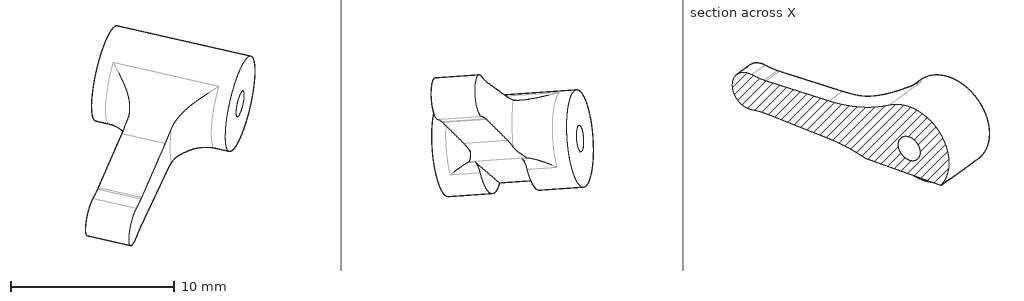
import cadquery as cq
import math

hub_width = 8.61
hub_radius = 3.004
bore_radius = 0.81

slot_width = 3.0
slot_roof_depth = 1.84

overall_length = 16.28
lever_width = 2.8
taper_start = 5.97
taper_end = 10.7
taper_start_half_height = 1.37
neck_half_height = 1.19
neck_end = 10.85
tip_radius = 1.29
tip_distance = overall_length - hub_radius - tip_radius

side_blend_radius = 2.0
lower_blend_radius = 1.63


def blend_point(center, radius, other_center):
    """Point on a circle in the direction of another circle's center."""
    dy = other_center[0] - center[0]
    dz = other_center[1] - center[1]
    distance = math.hypot(dy, dz)
    return (center[0] + radius * dy / distance, center[1] + radius * dz / distance)


def arc_middle(center, start, end):
    """Middle of the shorter arc from start to end."""
    middle = ((start[0] + end[0]) / 2, (start[1] + end[1]) / 2)
    return blend_point(center, math.dist(center, start), middle)


def mirrored(point):
    return (point[0], -point[1])


def make_hub():
    return cq.Workplane("YZ").circle(hub_radius).extrude(hub_width / 2, both=True)


def make_lever_profile():
    """Side outline of the lever in the YZ plane, closed by a chord inside the hub."""
    hub_center = (0, 0)

    taper_start_point = (-taper_start, taper_start_half_height)
    taper_angle = math.atan2(taper_start_half_height - neck_half_height, taper_end - taper_start)
    normal = (-math.sin(taper_angle), math.cos(taper_angle))
    normal_offset = taper_start_point[0] * normal[0] + taper_start_point[1] * normal[1]
    start_distance = math.hypot(*taper_start_point)
    arc_radius = (start_distance**2 - hub_radius**2) / (2 * (hub_radius - normal_offset))
    arc_center = (
        taper_start_point[0] + arc_radius * normal[0],
        taper_start_point[1] + arc_radius * normal[1],
    )
    upper_hub_point = blend_point(hub_center, hub_radius, arc_center)

    tip_center = (-tip_distance, 0)
    neck_point = (-neck_end, neck_half_height)
    neck_run = tip_distance - neck_end
    neck_arc_radius = (neck_run**2 - tip_radius**2 + neck_half_height**2) / (
        2 * (tip_radius - neck_half_height)
    )
    neck_center = (-neck_end, neck_half_height + neck_arc_radius)
    tip_point = blend_point(tip_center, tip_radius, neck_center)
    neck_middle = arc_middle(neck_center, neck_point, tip_point)

    lower_center = mirrored(arc_center)
    arc_rise = arc_center[1] - slot_roof_depth
    lower_arc_end = (arc_center[0] + math.sqrt(arc_radius**2 - arc_rise**2), -slot_roof_depth)

    blend_drop = slot_roof_depth + lower_blend_radius
    blend_run = math.sqrt((hub_radius + lower_blend_radius) ** 2 - blend_drop**2)
    blend_center = (-blend_run, -blend_drop)
    blend_start = (-blend_run, -slot_roof_depth)
    lower_hub_point = blend_point(hub_center, hub_radius, blend_center)

    taper_end_point = (-taper_end, neck_half_height)
    lower_taper_start = mirrored(taper_start_point)
    return (
        cq.Workplane("YZ")
        .moveTo(*upper_hub_point)
        .threePointArc(arc_middle(arc_center, upper_hub_point, taper_start_point), taper_start_point)
        .lineTo(*taper_end_point)
        .lineTo(*neck_point)
        .threePointArc(neck_middle, tip_point)
        .threePointArc((-tip_distance - tip_radius, 0), mirrored(tip_point))
        .threePointArc(mirrored(neck_middle), mirrored(neck_point))
        .lineTo(*mirrored(taper_end_point))
        .lineTo(*lower_taper_start)
        .threePointArc(arc_middle(lower_center, lower_taper_start, lower_arc_end), lower_arc_end)
        .lineTo(*blend_start)
        .threePointArc(arc_middle(blend_center, blend_start, lower_hub_point), lower_hub_point)
        .close()
    )


def make_flare():
    """Disc around the hub axis whose sides curve out from the lever width to the hub surface."""
    outer_radius = hub_radius + side_blend_radius
    lever_side = lever_width / 2
    flare_side = lever_side + side_blend_radius
    right_middle = arc_middle(
        (flare_side, outer_radius), (flare_side, hub_radius), (lever_side, outer_radius)
    )
    return (
        cq.Workplane("XY")
        .moveTo(-flare_side, 0)
        .lineTo(flare_side, 0)
        .lineTo(flare_side, hub_radius)
        .threePointArc(right_middle, (lever_side, outer_radius))
        .lineTo(-lever_side, outer_radius)
        .threePointArc((-right_middle[0], right_middle[1]), (-flare_side, hub_radius))
        .close()
        .revolve(360, (0, 0, 0), (1, 0, 0))
    )


def make_lever():
    blade = make_lever_profile().extrude(lever_width / 2, both=True)
    wide_blade = make_lever_profile().extrude(hub_width / 2, both=True)
    return blade.union(wide_blade.intersect(make_flare()))


def make_slot():
    slot_height = hub_radius - slot_roof_depth
    return (
        cq.Workplane("XY")
        .box(slot_width, 2 * overall_length, slot_height, centered=(True, True, False))
        .translate((0, 0, -hub_radius))
    )


def make_bore():
    return cq.Workplane("YZ").circle(bore_radius).extrude(hub_width, both=True)


result = make_hub().union(make_lever()).cut(make_slot()).cut(make_bore())